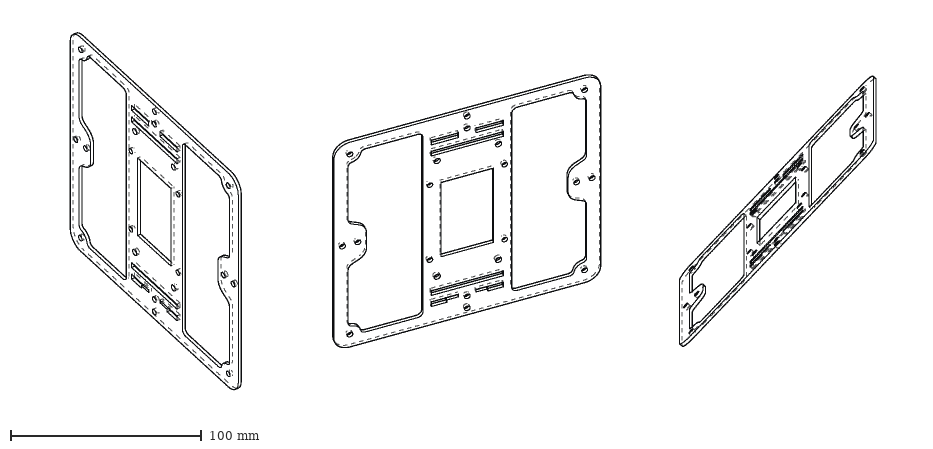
import cadquery as cq
import math

side = 150.0
thickness = 2.0
corner_radius = 9.0
half_side = side / 2
corner_hole_pos = half_side - corner_radius

frame_width = 8.0
window_outer = half_side - frame_width
window_inner = 25.0
window_fillet = 3.0
boss_radius = 6.2
boss_fillet = 2.5

tab_tip_x = 56.7
tab_tip_half_height = 10.5
tab_slope = math.radians(27)
tab_tip_radius = 8.0
tab_root_radius = 4.0
tab_root_half_height = tab_tip_half_height + (window_outer - tab_tip_x) * math.tan(tab_slope)

opening_width = 29.5
opening_height = 54.3

slot_half_span = 20.2
slot_height = 3.3
short_slot_inner = 5.0
upper_long_slot_z = 50.2
lower_long_slot_z = -51.9
slot_pitch = 8.1
step_x = 11.5
step_height = 1.6

edge_hole_diameter = 3.2
edge_hole_positions = (61.5, 70.2)
corner_hole_diameter = 3.2
opening_hole_diameter = 3.0
opening_hole_x = 21.0
opening_hole_z = 27.5
web_hole_diameter = 3.5
web_hole_x = 17.2
web_hole_shift = -0.3
web_hole_heights = (43.6, -41.1)


def extrude(sketch):
    """Extrude an XZ sketch by the plate thickness, centred on Y = 0."""
    return sketch.extrude(thickness).translate((0, thickness / 2, 0))


def box(x_min, x_max, z_min, z_max):
    """Block through the plate between the given limits."""
    center = ((x_min + x_max) / 2, (z_min + z_max) / 2)
    return extrude(cq.Workplane("XZ").center(*center).rect(x_max - x_min, z_max - z_min))


def cylinders(points, diameter):
    """Round cutters through the plate at (x, z) points."""
    return extrude(cq.Workplane("XZ").pushPoints(points).circle(diameter / 2))


def fillet_at(body, points, radius):
    """Round the through-thickness edges that stand at the (x, z) points."""
    for x, z in points:
        body = body.edges(cq.selectors.NearestToPointSelector((x, 0, z))).fillet(radius)
    return body


def right_window():
    """Window on +X, cut back by the corner bosses and the middle tab."""
    window = box(window_inner, window_outer, -window_outer, window_outer)
    tab = extrude(
        cq.Workplane("XZ").polyline([
            (window_outer, -tab_root_half_height),
            (tab_tip_x, -tab_tip_half_height),
            (tab_tip_x, tab_tip_half_height),
            (window_outer, tab_root_half_height),
        ]).close()
    )
    boss_points = [(corner_hole_pos, s * corner_hole_pos) for s in (-1, 1)]
    window = window.cut(tab).cut(cylinders(boss_points, 2 * boss_radius))

    side_gap = window_outer - corner_hole_pos
    boss_reach = corner_hole_pos - math.sqrt(boss_radius**2 - side_gap**2)
    for s in (-1, 1):
        window = fillet_at(window, [(window_inner, s * window_outer)], window_fillet)
        boss_ends = [(boss_reach, s * window_outer), (window_outer, s * boss_reach)]
        window = fillet_at(window, boss_ends, boss_fillet)
        window = fillet_at(window, [(tab_tip_x, s * tab_tip_half_height)], tab_tip_radius)
        window = fillet_at(window, [(window_outer, s * tab_root_half_height)], tab_root_radius)
    return window


def slot(x_min, x_max, z_center):
    """Straight slot of the common height."""
    return box(x_min, x_max, z_center - slot_height / 2, z_center + slot_height / 2)


def right_short_slots():
    """Short slots on +X; the lower one is narrower next to the centre line."""
    upper = slot(short_slot_inner, slot_half_span, upper_long_slot_z + slot_pitch)
    lower_z = lower_long_slot_z - slot_pitch
    lower = slot(short_slot_inner, slot_half_span, lower_z)
    lower_edge = lower_z - slot_height / 2
    step = box(short_slot_inner, step_x, lower_edge, lower_edge + step_height)
    return upper.union(lower.cut(step))


plate = extrude(cq.Workplane("XZ").rect(side, side)).edges("|Y").fillet(corner_radius)

for cutter in (right_window(), right_short_slots()):
    plate = plate.cut(cutter).cut(cutter.mirror("YZ"))

plate = plate.cut(box(-opening_width / 2, opening_width / 2, -opening_height / 2, opening_height / 2))
for slot_z in (upper_long_slot_z, lower_long_slot_z):
    plate = plate.cut(slot(-slot_half_span, slot_half_span, slot_z))

signs = (-1, 1)
corner_points = [(i * corner_hole_pos, j * corner_hole_pos) for i in signs for j in signs]
opening_points = [(i * opening_hole_x, j * opening_hole_z) for i in signs for j in signs]
web_points = [(web_hole_shift + i * web_hole_x, z) for i in signs for z in web_hole_heights]
edge_points = [(i * p, 0) for i in signs for p in edge_hole_positions]
edge_points += [(0, i * p) for i in signs for p in edge_hole_positions]
for points, diameter in (
    (corner_points, corner_hole_diameter),
    (opening_points, opening_hole_diameter),
    (web_points, web_hole_diameter),
    (edge_points, edge_hole_diameter),
):
    plate = plate.cut(cylinders(points, diameter))

result = plate